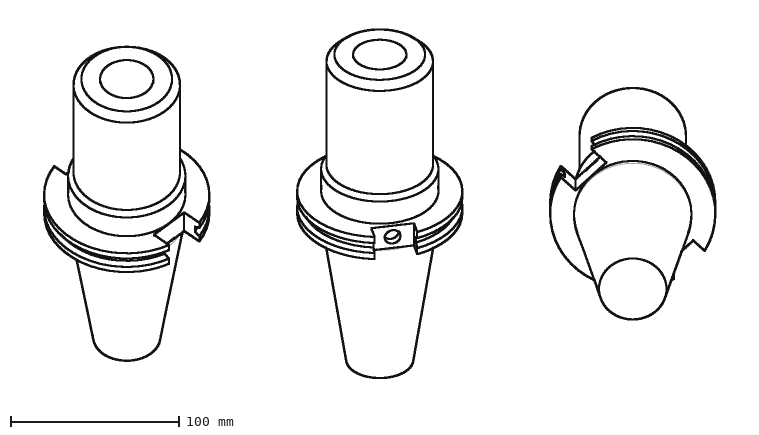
import cadquery as cq
import math


gauge_diameter = 69.85
taper_length = 101.6
taper_per_length = 7 / 24
taper_end_diameter = gauge_diameter - taper_length * taper_per_length

flange_diameter = 98.425
flange_bottom_z = 3.175
flange_thickness = 15.875
flange_top_z = flange_bottom_z + flange_thickness
flange_middle_z = flange_bottom_z + flange_thickness / 2
groove_floor_diameter = 91.44
groove_floor_width = 3.9
groove_wall_angle = 25

hub_diameter = gauge_diameter
nose_diameter = 63.5
nose_bottom_z = 38.1
hub_chamfer = (hub_diameter - nose_diameter) / 2
nose_top_z = 116.84
nose_chamfer = 4.75

bore_diameter = 31.75
bore_depth = 80.0

slot_width = 25.908
left_slot_floor_x = -37.85
right_slot_floor_x = 35.05
recess_diameter = 9.525
recess_depth = 5.0


def revolved_body():
    """Taper, grooved flange, hub and nose as one turned profile (radius, z)."""
    flange_radius = flange_diameter / 2
    groove_floor_radius = groove_floor_diameter / 2
    groove_depth = flange_radius - groove_floor_radius
    floor_half_width = groove_floor_width / 2
    mouth_half_width = floor_half_width + groove_depth * math.tan(math.radians(groove_wall_angle))
    nose_radius = nose_diameter / 2
    profile = [
        (0, -taper_length),
        (taper_end_diameter / 2, -taper_length),
        (gauge_diameter / 2, 0),
        (gauge_diameter / 2, flange_bottom_z),
        (flange_radius, flange_bottom_z),
        (flange_radius, flange_middle_z - mouth_half_width),
        (groove_floor_radius, flange_middle_z - floor_half_width),
        (groove_floor_radius, flange_middle_z + floor_half_width),
        (flange_radius, flange_middle_z + mouth_half_width),
        (flange_radius, flange_top_z),
        (hub_diameter / 2, flange_top_z),
        (hub_diameter / 2, nose_bottom_z - hub_chamfer),
        (nose_radius, nose_bottom_z),
        (nose_radius, nose_top_z - nose_chamfer),
        (nose_radius - nose_chamfer, nose_top_z),
        (0, nose_top_z),
    ]
    return cq.Workplane("XZ").polyline(profile).close().revolve(360, (0, 0), (0, 1))


def tool_bore():
    """Blind flat-bottomed bore from the nose face."""
    bore_floor = cq.Workplane("XY").workplane(offset=nose_top_z - bore_depth)
    return bore_floor.circle(bore_diameter / 2).extrude(bore_depth)


def drive_slot(floor_x):
    """Block that cuts the flange outward from a flat floor at floor_x."""
    outward_length = math.copysign(flange_diameter / 2, floor_x)
    floor_plane = cq.Workplane("YZ", origin=(floor_x, 0, flange_middle_z))
    return floor_plane.rect(slot_width, flange_thickness).extrude(outward_length)


def slot_recess():
    """Round blind recess sunk into the floor of the -X slot."""
    floor_plane = cq.Workplane("YZ", origin=(left_slot_floor_x, 0, flange_middle_z))
    return floor_plane.circle(recess_diameter / 2).extrude(recess_depth)


result = revolved_body().cut(tool_bore())
for slot_floor_x in (left_slot_floor_x, right_slot_floor_x):
    result = result.cut(drive_slot(slot_floor_x))
result = result.cut(slot_recess())